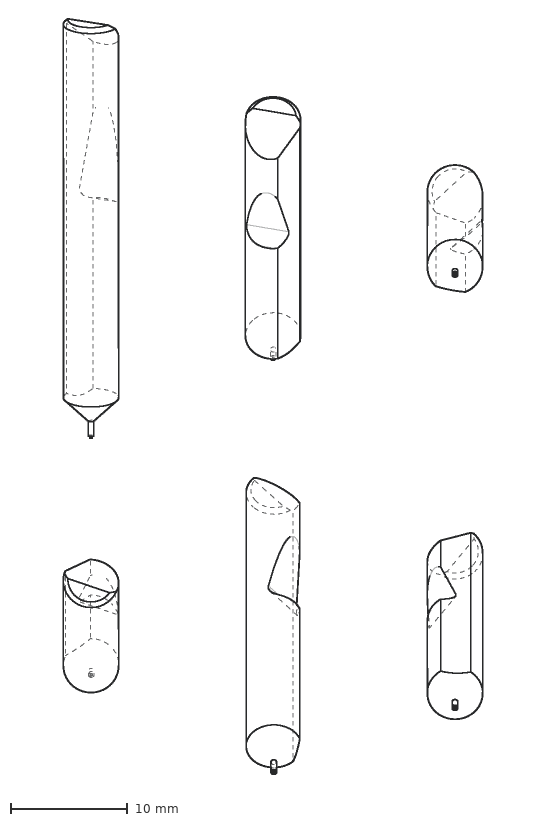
import cadquery as cq
import math

SHANK_DIAMETER = 4.7625
SHANK_RADIUS = SHANK_DIAMETER / 2
TOTAL_LENGTH = 38.1

NIB_RADIUS = 0.1
NIB_LENGTH = 0.2
PIN_RADIUS = 0.25
PIN_TOP = 1.54
CONE_TOP = PIN_TOP + SHANK_RADIUS - PIN_RADIUS

RIM_CHAMFER = 0.4
BEVEL_START_Y = -0.58

FLAT_DISTANCE = 2.0
FLAT_DIRECTION = 144.0

NOTCH_TOP = TOTAL_LENGTH - 8.25
NOTCH_BOTTOM = TOTAL_LENGTH - 17.0
NOTCH_SLOPE = 9.2
NOTCH_CORNER_RADIUS = 1.1

CUT_SIZE = 2 * SHANK_DIAMETER


def make_turned_body():
    """Revolve the half profile of the nib, pin, cone and chamfered shank about Z."""
    return (
        cq.Workplane("XZ")
        .moveTo(0, 0)
        .lineTo(-NIB_RADIUS, 0)
        .lineTo(-NIB_RADIUS, NIB_LENGTH)
        .lineTo(-PIN_RADIUS, NIB_LENGTH)
        .lineTo(-PIN_RADIUS, PIN_TOP)
        .lineTo(-SHANK_RADIUS, CONE_TOP)
        .lineTo(-SHANK_RADIUS, TOTAL_LENGTH - RIM_CHAMFER)
        .lineTo(RIM_CHAMFER - SHANK_RADIUS, TOTAL_LENGTH)
        .lineTo(0, TOTAL_LENGTH)
        .close()
        .revolve(360, (0, 0, 0), (0, 1, 0))
    )


def make_flat_cutter():
    """Block whose inner face is the flat along the shank."""
    return (
        cq.Workplane("XY")
        .box(CUT_SIZE, CUT_SIZE, TOTAL_LENGTH, centered=(False, True, False))
        .translate((FLAT_DISTANCE, 0, 0))
        .rotate((0, 0, 0), (0, 0, 1), FLAT_DIRECTION)
    )


def make_bevel_cutter():
    """Triangular prism that bevels the top end at 45 degrees."""
    bevel_run = SHANK_DIAMETER
    bevel_end_y = BEVEL_START_Y + bevel_run
    return (
        cq.Workplane("YZ")
        .moveTo(BEVEL_START_Y, TOTAL_LENGTH)
        .lineTo(bevel_end_y, TOTAL_LENGTH - bevel_run)
        .lineTo(bevel_end_y, TOTAL_LENGTH)
        .close()
        .extrude(CUT_SIZE / 2, both=True)
    )


def make_notch_cutter():
    """Prism along X with a sloping floor, a square lower wall and a rounded corner."""
    corner_depth = (NOTCH_TOP - NOTCH_BOTTOM) * math.tan(math.radians(NOTCH_SLOPE))
    return (
        cq.Workplane("YZ")
        .moveTo(SHANK_RADIUS, NOTCH_TOP)
        .lineTo(SHANK_RADIUS - corner_depth, NOTCH_BOTTOM)
        .lineTo(CUT_SIZE, NOTCH_BOTTOM)
        .lineTo(CUT_SIZE, NOTCH_TOP)
        .close()
        .extrude(CUT_SIZE / 2, both=True)
        .edges(cq.selectors.NearestToPointSelector((0, SHANK_RADIUS - corner_depth, NOTCH_BOTTOM)))
        .fillet(NOTCH_CORNER_RADIUS)
    )


result = (
    make_turned_body()
    .cut(make_flat_cutter())
    .cut(make_bevel_cutter())
    .cut(make_notch_cutter())
)